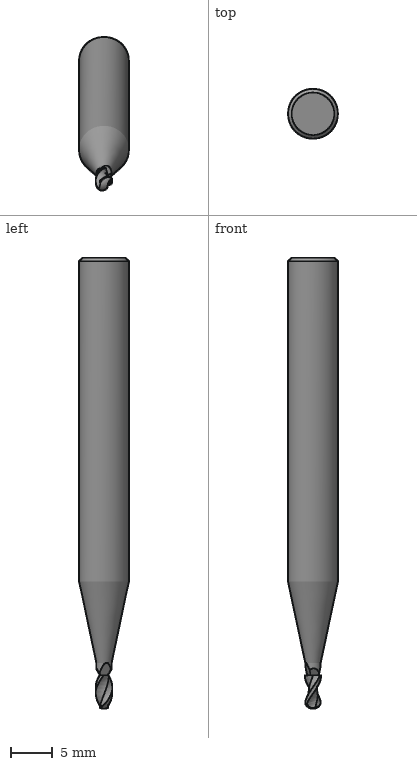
import cadquery as cq
import math

total_length = 54.0
shank_radius = 3.0
shank_chamfer_width = 0.45
shank_chamfer_height = 0.4
shank_start = 15.22

neck_radius = 0.93
neck_end = 5.5

head_radius = 1.0
head_length = 4.0

flute_count = 2
flute_pitch = 360.0 / flute_count
helix_angle = 35.0
flute_start_angle = 84.0
flute_root = (0.5, 0.25)
rake_face_end = (0.05, 1.2)
back_face_end = (0.35, -1.2)
flute_clear_radius = 1.5 * head_radius
helix_lead = 2 * math.pi * head_radius / math.tan(math.radians(helix_angle))
head_twist = 360.0 * head_length / helix_lead

runout_depth_radius = 0.45
long_runout_angle = 200.0
long_runout_end = neck_end
short_runout_angle = 275.0
short_runout_end = 4.85
runout_span = 3 * neck_radius


def make_shank():
    """Turned shank, cone and neck, revolved about Z."""
    return (
        cq.Workplane("XZ")
        .moveTo(0, head_length)
        .lineTo(neck_radius, head_length)
        .lineTo(neck_radius, neck_end)
        .lineTo(shank_radius, shank_start)
        .lineTo(shank_radius, total_length - shank_chamfer_height)
        .lineTo(shank_radius - shank_chamfer_width, total_length)
        .lineTo(0, total_length)
        .close()
        .revolve(360, (0, 0, 0), (0, 1, 0))
    )


def make_runout(angle, runout_end):
    """Flat facet that slopes out to the neck surface at runout_end, facing the given angle about Z."""
    clear_radius = 2 * neck_radius
    return (
        cq.Workplane("XZ")
        .moveTo(runout_depth_radius, head_length)
        .lineTo(clear_radius, head_length)
        .lineTo(clear_radius, runout_end)
        .lineTo(neck_radius, runout_end)
        .close()
        .extrude(runout_span / 2, both=True)
        .rotate((0, 0, 0), (0, 0, 1), angle)
    )


def make_head_blank():
    """Cylinder with a hemispherical nose, revolved about Z."""
    nose_middle = head_radius * math.sqrt(0.5)
    return (
        cq.Workplane("XZ")
        .moveTo(0, 0)
        .threePointArc((nose_middle, head_radius - nose_middle), (head_radius, head_radius))
        .lineTo(head_radius, head_length)
        .lineTo(0, head_length)
        .close()
        .revolve(360, (0, 0, 0), (0, 1, 0))
    )


def make_flute(angle):
    """Flute with a rake face and a back face, starting at the given angle and twisted up the head."""
    return (
        cq.Workplane("XY")
        .moveTo(*flute_root)
        .lineTo(*rake_face_end)
        .lineTo(flute_clear_radius, rake_face_end[1])
        .lineTo(flute_clear_radius, back_face_end[1])
        .lineTo(*back_face_end)
        .close()
        .twistExtrude(head_length, head_twist)
        .rotate((0, 0, 0), (0, 0, 1), angle)
    )


shank = make_shank()
cutting_head = make_head_blank()
for flute in range(flute_count):
    turn = flute * flute_pitch
    shank = shank.cut(make_runout(long_runout_angle + turn, long_runout_end))
    shank = shank.cut(make_runout(short_runout_angle + turn, short_runout_end))
    cutting_head = cutting_head.cut(make_flute(flute_start_angle + turn))

result = cq.Compound.makeCompound([shank.val(), cutting_head.val()])